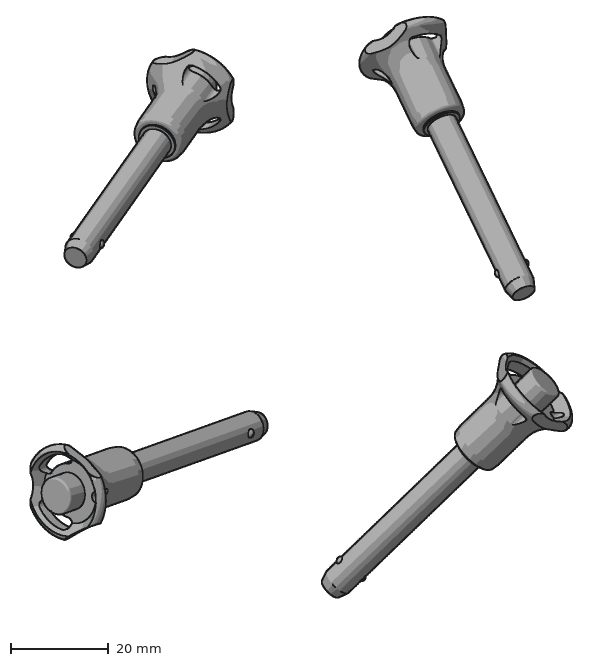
import math

import cadquery as cq


overall_length = 65.53

shank_radius = 3.175
shank_length = 42.93
tip_radius = 2.48
tip_length = 2.2

ball_radius = 1.0
ball_reach = 3.7
ball_y = -36.65

collar_radius = 4.0
collar_length = 0.4

barrel_radius = 5.6
barrel_start_y = 2.55
barrel_end_y = 11.1
nose_radius = 5.4
nose_y = 1.0
nose_face_radius = 4.55

handle_top_y = 20.4
rim_radius = 10.16
rim_round = 1.27
rim_round_end_angle = math.radians(50)

dish_rim_radius = rim_radius - rim_round
dish_wall_slope = 1.22
dish_depth = 2.54
dish_floor_radius = dish_rim_radius - dish_depth / dish_wall_slope

button_radius = 3.94
button_top_y = overall_length - shank_length
button_edge_round = 0.45

scallop_angles = (0, 120, 240)
scallop_end_x = 8.71
scallop_sag = 0.4

opening_radius = 1.15
keyring_hole_offset = 6.9
slot_circle_radius = 6.95
slot_start_angle = 32.5
slot_end_angle = 84.6
cut_start_y = handle_top_y + 1.0


def polar(radius, angle):
    """Point at a radius and an angle in degrees, in the plane across the axis."""
    return (
        radius * math.cos(math.radians(angle)),
        radius * math.sin(math.radians(angle)),
    )


def revolve_about_axis(profile):
    return profile.close().revolve(360, (0, 0, 0), (0, 1, 0))


def across_axis(y):
    """Work plane at height y whose local axes are X and Z."""
    return cq.Workplane(cq.Plane(origin=(0, y, 0), xDir=(1, 0, 0), normal=(0, -1, 0)))


def make_shank():
    return revolve_about_axis(
        cq.Workplane("XY")
        .moveTo(0, -shank_length)
        .lineTo(tip_radius, -shank_length)
        .lineTo(shank_radius, tip_length - shank_length)
        .lineTo(shank_radius, 0)
        .lineTo(collar_radius, 0)
        .lineTo(collar_radius, collar_length)
        .lineTo(0, collar_length)
    )


def make_balls():
    center_x = ball_reach - ball_radius
    centers = [(center_x, ball_y, 0), (-center_x, ball_y, 0)]
    return cq.Workplane("XY").pushPoints(centers).sphere(ball_radius)


def make_handle_body():
    nose_width = nose_radius - nose_face_radius
    nose_height = nose_y - collar_length
    nose_arc_radius = (nose_width**2 + nose_height**2) / (2 * nose_height)
    nose_half_angle = math.asin(nose_width / nose_arc_radius) / 2
    nose_mid = (
        nose_face_radius + nose_arc_radius * math.sin(nose_half_angle),
        collar_length + nose_arc_radius * (1 - math.cos(nose_half_angle)),
    )

    rim_center_y = handle_top_y - rim_round
    flare_end = (
        dish_rim_radius + rim_round * math.cos(rim_round_end_angle),
        rim_center_y - rim_round * math.sin(rim_round_end_angle),
    )

    flare_rise = flare_end[1] - barrel_end_y
    flare_growth = flare_end[0] - barrel_radius
    flare_radius = (flare_rise**2 + flare_growth**2) / (2 * flare_growth)
    flare_half_angle = math.asin(flare_rise / flare_radius) / 2
    flare_mid = (
        barrel_radius + flare_radius * (1 - math.cos(flare_half_angle)),
        barrel_end_y + flare_radius * math.sin(flare_half_angle),
    )

    return revolve_about_axis(
        cq.Workplane("XY")
        .moveTo(0, collar_length)
        .lineTo(nose_face_radius, collar_length)
        .threePointArc(nose_mid, (nose_radius, nose_y))
        .lineTo(barrel_radius, barrel_start_y)
        .lineTo(barrel_radius, barrel_end_y)
        .threePointArc(flare_mid, flare_end)
        .threePointArc((rim_radius, rim_center_y), (dish_rim_radius, handle_top_y))
        .lineTo(dish_floor_radius, handle_top_y - dish_depth)
        .lineTo(0, handle_top_y - dish_depth)
    )


def make_scallop(angle):
    """Cutter with a bulging inner face that hollows the rim at one angle."""
    half_width = math.sqrt(rim_radius**2 - scallop_end_x**2)
    bulge_radius = (half_width**2 + scallop_sag**2) / (2 * scallop_sag)
    center_x = scallop_end_x - scallop_sag + bulge_radius
    return (
        across_axis(cut_start_y)
        .center(center_x, 0)
        .circle(bulge_radius)
        .extrude(cut_start_y - barrel_end_y)
        .rotate((0, 0, 0), (0, 1, 0), angle)
    )


def make_keyring_hole():
    return (
        across_axis(cut_start_y)
        .center(-keyring_hole_offset, 0)
        .circle(opening_radius)
        .extrude(cut_start_y - barrel_end_y)
    )


def make_finger_slot(side):
    """Curved slot on the +Z (side = 1) or -Z (side = -1) half of the flare."""
    inner = slot_circle_radius - opening_radius
    outer = slot_circle_radius + opening_radius
    start = side * slot_start_angle
    end = side * slot_end_angle
    middle = (start + end) / 2
    tip_radius_from_axis = math.hypot(slot_circle_radius, opening_radius)
    tip_angle = side * math.degrees(math.atan(opening_radius / slot_circle_radius))
    return (
        across_axis(cut_start_y)
        .moveTo(*polar(inner, start))
        .threePointArc(polar(inner, middle), polar(inner, end))
        .threePointArc(polar(tip_radius_from_axis, end + tip_angle), polar(outer, end))
        .threePointArc(polar(outer, middle), polar(outer, start))
        .threePointArc(polar(tip_radius_from_axis, start - tip_angle), polar(inner, start))
        .close()
        .extrude(cut_start_y - barrel_end_y)
    )


def make_button():
    base_y = handle_top_y - dish_depth
    return (
        across_axis(button_top_y)
        .circle(button_radius)
        .extrude(button_top_y - base_y)
        .faces(">Y")
        .edges()
        .fillet(button_edge_round)
    )


handle = make_handle_body()
for scallop_angle in scallop_angles:
    handle = handle.cut(make_scallop(scallop_angle))
handle = handle.cut(make_keyring_hole())
for slot_side in (1, -1):
    handle = handle.cut(make_finger_slot(slot_side))

result = handle.union(make_button()).union(make_shank()).union(make_balls())